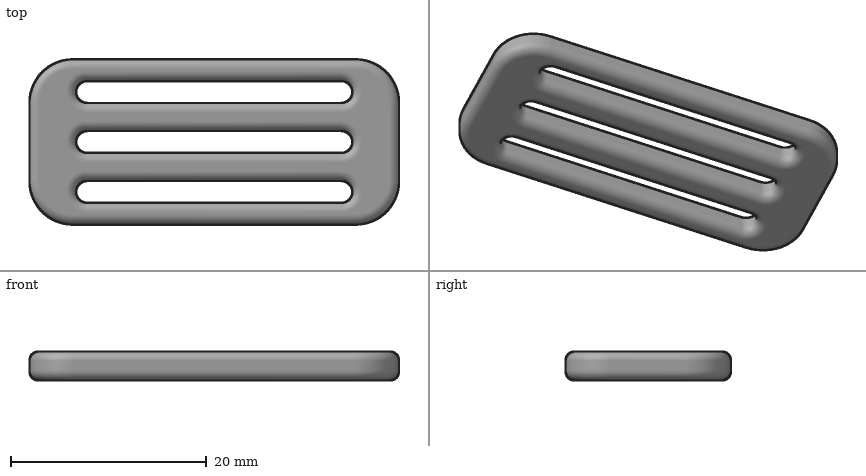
import cadquery as cq

length = 37.8
width = 16.95
thickness = 3.0
corner_radius = 4.5
edge_fillet = 1.0

slot_count = 3
slot_length = 28.2
slot_width = 2.2
slot_pitch = 5.1


def rounded_plate():
    """Flat plate with round corners and fully rounded rim edges."""
    plate = cq.Workplane("XY").box(length, width, thickness)
    plate = plate.edges("|Z").fillet(corner_radius)
    return plate.faces("<Z or >Z").edges().fillet(edge_fillet)


def cut_strap_slots(plate):
    """Cut parallel through slots and round over both of their mouths."""
    slots = (
        cq.Workplane("XY")
        .rarray(length, slot_pitch, 1, slot_count)
        .slot2D(slot_length, slot_width)
        .extrude(thickness / 2, both=True)
    )
    slotted = plate.cut(slots)
    flat_faces = slotted.faces("<Z or >Z").vals()
    mouth_edges = [edge for face in flat_faces for wire in face.innerWires() for edge in wire.Edges()]
    return slotted.newObject(mouth_edges).fillet(edge_fillet)


result = cut_strap_slots(rounded_plate())